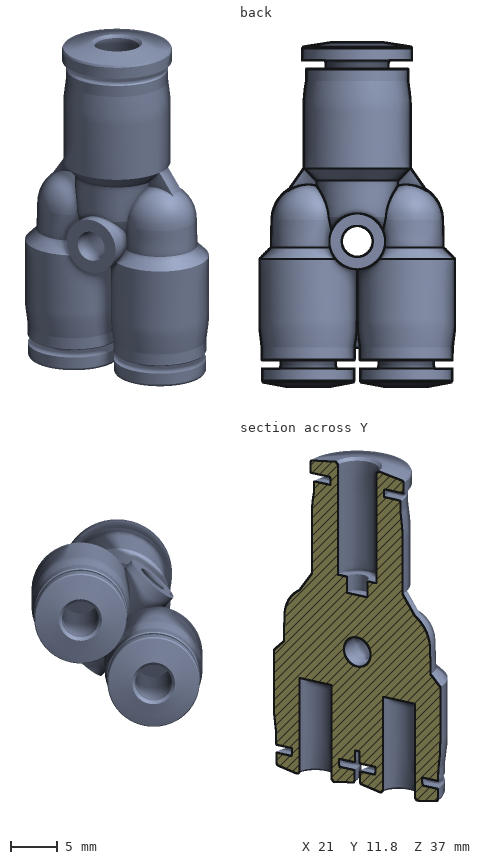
import cadquery as cq
import math

HEIGHT = 37.0
BRANCH_OFFSET = 5.25

MAIN_BUTTON_RADIUS = 11.8 / 2
MAIN_NECK_RADIUS = 6.77 / 2
MAIN_COLLAR_RADIUS = 11.0 / 2
MAIN_BODY_RADIUS = 11.5 / 2
MAIN_SHOULDER_Z = 23.45
STEM_RADIUS = 9.0 / 2
STEM_TOP_Z = 22.13
STEM_CONE_Z = 18.2
STEM_TIP_RADIUS = 3.92

BRANCH_BUTTON_RADIUS = 9.9 / 2
BRANCH_NECK_RADIUS = 5.95 / 2
BRANCH_COLLAR_RADIUS = 10.0 / 2
BRANCH_BODY_RADIUS = 5.25
BRANCH_SHOULDER_Z = 13.73
NECK_BASE_Z = 14.95
NECK_BASE_RADIUS = 4.05
DOME_BASE_Z = 17.87
DOME_RADIUS = 3.95

RIM_DROP = 0.48
RIM_BEVEL_END = 0.7
BUTTON_THICKNESS = 1.95
FLARE_END = 2.25
COLLAR_START = 2.8
COLLAR_END = 4.18
TAPER_END = 7.25
RIM_BEVEL = 0.1
COLLAR_BEVEL = 0.1
NECK_FLARE = 0.092
TAPER_BULGE = 0.092

MOUTH_BEVEL = 0.315
MAIN_BORE_RADIUS = 4.77 / 2
MAIN_BORE_DEPTH = 12.95
MAIN_PILOT_RADIUS = 2.5 / 2
MAIN_PILOT_DEPTH = 1.85
BRANCH_BORE_RADIUS = 3.95 / 2
BRANCH_BORE_DEPTH = 11.1

BOSS_Z = 15.6
BOSS_RADIUS = 6.0 / 2
BOSS_LENGTH = 11.5
BOSS_HOLE_RADIUS = 3.3 / 2

RIB_WIDTH = 1.92
RIB_TOE_X = 7.8
RIB_TOE_Z = 20.55
RIB_BASE_Z = 18.5
WEB_THICKNESS = 1.48


def port_outline(button, neck, collar, body, bore):
    """Half profile of a port end: start at the axis, finish on the body radius.

    All arguments are radii; the open end lies at height zero.
    """
    taper_middle = ((collar + body) / 2 + TAPER_BULGE, (COLLAR_END + TAPER_END) / 2)
    return (
        cq.Workplane("XZ")
        .lineTo(bore + MOUTH_BEVEL, 0)
        .lineTo(button - RIM_BEVEL, RIM_DROP)
        .lineTo(button, RIM_BEVEL_END)
        .lineTo(button, BUTTON_THICKNESS)
        .lineTo(neck + NECK_FLARE, BUTTON_THICKNESS)
        .lineTo(neck, FLARE_END)
        .lineTo(neck, COLLAR_START)
        .lineTo(collar - COLLAR_BEVEL, COLLAR_START)
        .lineTo(collar, COLLAR_START + COLLAR_BEVEL)
        .lineTo(collar, COLLAR_END)
        .threePointArc(taper_middle, (body, TAPER_END))
    )


def port_bore(radius, depth):
    """Blind bore with a bevelled mouth at height zero."""
    return (
        cq.Workplane("XZ")
        .lineTo(radius + MOUTH_BEVEL, 0)
        .lineTo(radius, MOUTH_BEVEL)
        .lineTo(radius, depth)
        .lineTo(0, depth)
        .close()
        .revolve(360, (0, 0), (0, 1))
    )


def face_up(shape):
    """Turn a port built with its mouth at height zero to open at the top."""
    return shape.rotate((0, 0, 0), (1, 0, 0), 180).translate((0, 0, HEIGHT))


def main_port():
    body = (
        port_outline(
            MAIN_BUTTON_RADIUS,
            MAIN_NECK_RADIUS,
            MAIN_COLLAR_RADIUS,
            MAIN_BODY_RADIUS,
            MAIN_BORE_RADIUS,
        )
        .lineTo(MAIN_BODY_RADIUS, HEIGHT - MAIN_SHOULDER_Z)
        .lineTo(STEM_RADIUS, HEIGHT - STEM_TOP_Z)
        .lineTo(STEM_RADIUS, HEIGHT - STEM_CONE_Z)
        .lineTo(STEM_TIP_RADIUS, HEIGHT - BOSS_Z)
        .lineTo(0, HEIGHT - BOSS_Z)
        .close()
        .revolve(360, (0, 0), (0, 1))
    )
    return face_up(body)


def branch_port():
    diagonal = DOME_RADIUS * math.sqrt(0.5)
    return (
        port_outline(
            BRANCH_BUTTON_RADIUS,
            BRANCH_NECK_RADIUS,
            BRANCH_COLLAR_RADIUS,
            BRANCH_BODY_RADIUS,
            BRANCH_BORE_RADIUS,
        )
        .lineTo(BRANCH_BODY_RADIUS, BRANCH_SHOULDER_Z)
        .lineTo(NECK_BASE_RADIUS, NECK_BASE_Z)
        .lineTo(DOME_RADIUS, DOME_BASE_Z)
        .threePointArc((diagonal, DOME_BASE_Z + diagonal), (0, DOME_BASE_Z + DOME_RADIUS))
        .close()
        .revolve(360, (0, 0), (0, 1))
    )


def cross_cylinder(radius):
    """Cylinder along Y, centred on the part at the boss height."""
    return (
        cq.Workplane("XZ")
        .center(0, BOSS_Z)
        .circle(radius)
        .extrude(BOSS_LENGTH / 2, both=True)
    )


def ribs():
    """Both sloping ribs, from the main body shoulder down into the domes."""
    return (
        cq.Workplane("XZ")
        .polyline([
            (-MAIN_BODY_RADIUS, MAIN_SHOULDER_Z),
            (MAIN_BODY_RADIUS, MAIN_SHOULDER_Z),
            (RIB_TOE_X, RIB_TOE_Z),
            (BRANCH_OFFSET, RIB_BASE_Z),
            (-BRANCH_OFFSET, RIB_BASE_Z),
            (-RIB_TOE_X, RIB_TOE_Z),
        ])
        .close()
        .extrude(RIB_WIDTH / 2, both=True)
    )


def web():
    """Thin wall joining the two small ports, ending level with the collars."""
    return (
        cq.Workplane("XY")
        .workplane(offset=COLLAR_END)
        .rect(BRANCH_OFFSET, WEB_THICKNESS)
        .extrude(BOSS_Z - COLLAR_END)
    )


result = main_port().union(ribs()).union(web())
for side in (-1, 1):
    result = result.union(branch_port().translate((side * BRANCH_OFFSET, 0, 0)))
result = result.union(cross_cylinder(BOSS_RADIUS))

result = result.cut(cross_cylinder(BOSS_HOLE_RADIUS))
pilot = cq.Workplane("XY").circle(MAIN_PILOT_RADIUS).extrude(MAIN_BORE_DEPTH + MAIN_PILOT_DEPTH)
main_bore = port_bore(MAIN_BORE_RADIUS, MAIN_BORE_DEPTH).union(pilot)
result = result.cut(face_up(main_bore))
for side in (-1, 1):
    branch_bore = port_bore(BRANCH_BORE_RADIUS, BRANCH_BORE_DEPTH)
    result = result.cut(branch_bore.translate((side * BRANCH_OFFSET, 0, 0)))